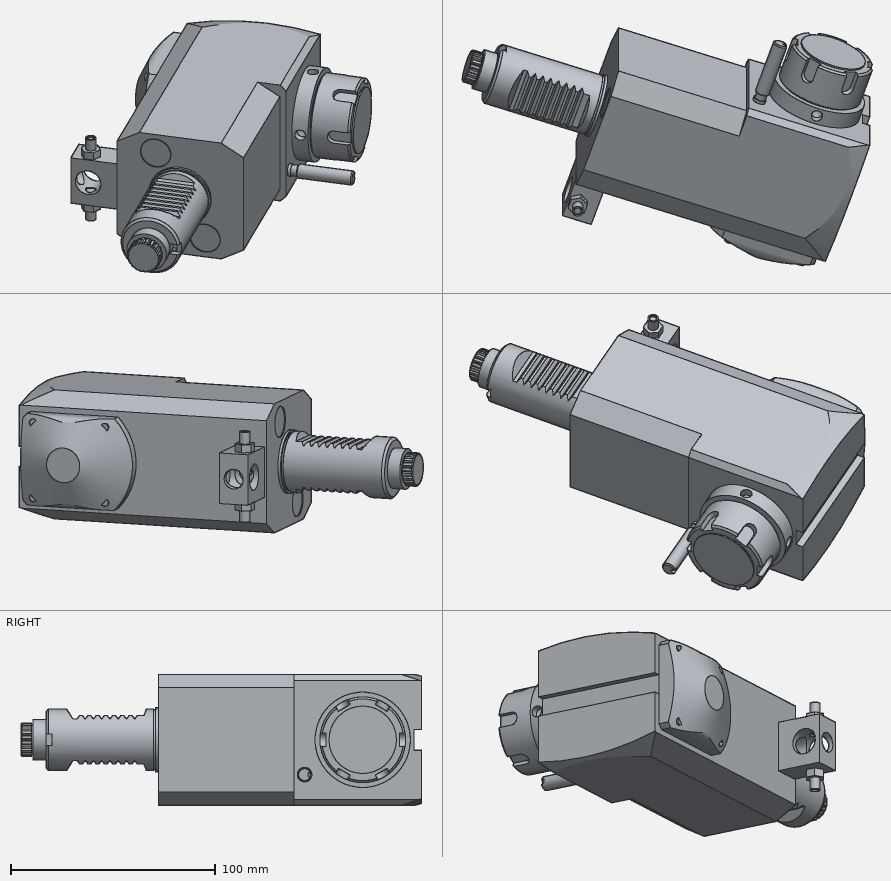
import cadquery as cq
import math


OVERALL_LENGTH = 196.0

HOUSING_HEIGHT = 64.0
HOUSING_LENGTH = 128.8
HOUSING_HALF_WIDTH = 32.1
HEAD_FACE_X = 35.3
HEAD_START_Y = 66.2
HEAD_CHAMFER = 3.0
BEVEL_WIDTH = 11.4
BEVEL_HEIGHT = 6.5
CROWN_RADIUS = 147.0
CROWN_TOP_Z = 31.2
CROWN_CENTER_X = 9.0
CROWN_ANGLE = 15.0
REAR_SLOT_WIDTH = 10.0
REAR_SLOT_DEPTH = 3.7
PLUG_RADIUS = 7.6
PLUG_X = 12.5
PLUG_Z = 21.8
PLUG_RECESS = 0.5

SHANK_RADIUS = 15.0
SHANK_END_Y = -54.9
SHANK_CHAMFER = 1.2
COLLAR_RADIUS = 15.7
COLLAR_LENGTH = 1.4
RELIEF_RADIUS = 14.7
RELIEF_END_Y = -2.4
DRIVE_RADIUS = 10.0
DRIVE_END_Y = -61.3
SPLINE_RADIUS = 8.2
SPLINE_ROOT_RADIUS = 7.5
SPLINE_START_Y = -62.0
SPLINE_CHAMFER = 0.5
SPLINE_TEETH = 20
TIP_Y = HOUSING_LENGTH - OVERALL_LENGTH
KEYWAY_FLOOR_X = 10.2
KEYWAY_WIDTH = 5.5
KEYWAY_LENGTH = 3.0
KEYWAY_POCKET_TOP_X = 12.7
KEYWAY_POCKET_WIDTH = 4.0
KEYWAY_POCKET_DEPTH = 2.0

FLAT_Z = 12.0
VALLEY_Z = 10.2
FLAT_EDGE_Y = -5.9
FLAT_START_Y = -7.0
FIRST_VALLEY_Y = -11.5
LAST_VALLEY_Y = -39.8
RAMP_START_Y = -41.7
RAMP_END_Y = -44.9
VALLEY_COUNT = 8
VALLEY_HALF_WIDTH = 1.4

SPINDLE_Y = 100.0
FLANGE_RADIUS = 23.3
FLANGE_END_X = 43.5
NECK_RADIUS = 20.0
NUT_RADIUS = 21.0
NUT_START_X = 44.3
NUT_END_X = 63.9
NUT_CHAMFER = 1.0
RIM_RADIUS = 16.5
RIM_END_X = 64.7
NUT_SLOT_COUNT = 6
NUT_SLOT_WIDTH = 6.7
NUT_SLOT_START_X = 52.7
NUT_SLOT_DEPTH = 3.0
SCREW_HOLE_X = 39.5
SCREW_HOLE_RADIUS = 2.7
SCREW_HOLE_DEPTH = 4.0
DRILL_POINT_ANGLE = 118.0
SCREW_HOLE_COUNT = 4

NOZZLE_Y = 71.5
NOZZLE_Z = -17.0
NOZZLE_RADIUS = 3.5
NOZZLE_START_X = 40.4
NOZZLE_END_X = 68.0
NOZZLE_CHAMFER = 0.5
NOZZLE_SEAT_RADIUS = 3.1
NOZZLE_SEAT_END_X = 36.8
NOZZLE_STEM_RADIUS = 2.7
NOZZLE_STEM_END_X = 39.8
JET_RADIUS = 1.4
JET_DEPTH = 2.4

COVER_RADIUS = 32.1
COVER_RIM_X = -37.5
COVER_TOP_X = -48.2
COVER_TOP_RADIUS = 8.6
COVER_HALF_HEIGHT = 22.7
COVER_REAR_REACH = 24.9
COVER_ROUNDING = 5.9
COVER_ROUND_START_X = -38.0
COVER_SCREW_OFFSET = 18.6
COVER_SCREW_RADIUS = 2.0
COVER_SCREW_TOP_X = -40.2

BLOCK_FACE_X = -55.9
BLOCK_START_Y = 1.0
BLOCK_END_Y = 15.9
BLOCK_HEIGHT = 25.0
BLOCK_HOLE_X = -47.0
BLOCK_HOLE_RADIUS = 6.5
SIDE_HOLE_RADIUS = 4.9
SIDE_HOLE_FLOOR_X = -34.3
SIDE_SOCKET_SIZE = 3.5
SIDE_SOCKET_DEPTH = 1.2
STUD_Y = 5.9
STUD_RADIUS = 2.5
STUD_TOP_Z = 22.3
STUD_SOCKET_RADIUS = 1.8
STUD_SOCKET_DEPTH = 0.8
STUD_TIP_Z = 6.9
LOCKNUT_SIZE = 9.6
LOCKNUT_TOP_Z = 16.5


def cylinder_x(radius, start_x, end_x, y, z):
    """Cylinder along X between two X positions."""
    plane = cq.Workplane("YZ", origin=(start_x, y, z))
    return plane.circle(radius).extrude(end_x - start_x)


def box_between(low, high):
    """Box from its lowest corner to its highest corner."""
    size = [high[i] - low[i] for i in range(3)]
    return cq.Workplane("XY").box(*size, centered=False).translate(low)


def turned_x(points, y, z):
    """Solid turned about an axis along X, from (x, radius) points."""
    profile = cq.Workplane("XY").polyline(points).close()
    return profile.revolve(360, (0, 0, 0), (1, 0, 0)).translate((0, y, z))


def housing_section(right_x, right_bevel_width, right_bevel_height):
    """Closed outline of the housing in the XZ plane, symmetric about Z = 0."""
    top = HOUSING_HEIGHT / 2
    upper = [
        (-HOUSING_HALF_WIDTH, top - BEVEL_HEIGHT),
        (-HOUSING_HALF_WIDTH + BEVEL_WIDTH, top),
        (right_x - right_bevel_width, top),
        (right_x, top - right_bevel_height),
    ]
    lower = [(x, -z) for x, z in reversed(upper)]
    return cq.Workplane("XZ").polyline(upper + lower).close()


def make_housing():
    head_length = HOUSING_LENGTH - HEAD_START_Y
    base = housing_section(HOUSING_HALF_WIDTH, BEVEL_WIDTH, BEVEL_HEIGHT).extrude(-HEAD_START_Y)
    head = housing_section(HEAD_FACE_X, HEAD_CHAMFER, HEAD_CHAMFER).extrude(-head_length)
    body = base.union(head.translate((0, HEAD_START_Y, 0)))

    front_radius = CROWN_RADIUS + HOUSING_LENGTH * math.tan(math.radians(CROWN_ANGLE))
    cone_center_z = CROWN_TOP_Z - CROWN_RADIUS
    for side in (1, -1):
        cone = cq.Solid.makeCone(
            front_radius,
            CROWN_RADIUS,
            HOUSING_LENGTH,
            pnt=cq.Vector(CROWN_CENTER_X, 0, side * cone_center_z),
            dir=cq.Vector(0, 1, 0),
        )
        body = body.intersect(cq.Workplane(cone))

    slot = box_between(
        (-HOUSING_HALF_WIDTH, HOUSING_LENGTH - REAR_SLOT_DEPTH, -REAR_SLOT_WIDTH / 2),
        (HEAD_FACE_X, HOUSING_LENGTH, REAR_SLOT_WIDTH / 2),
    )
    plugs = (
        cq.Workplane("XZ")
        .pushPoints([(-PLUG_X, PLUG_Z), (PLUG_X, -PLUG_Z)])
        .circle(PLUG_RADIUS)
        .extrude(-PLUG_RECESS)
    )
    return body.cut(slot).cut(plugs)


def make_serration_cutter():
    """Cutter for the serrated flat on the +Z side of the shank, drawn in YZ."""
    pitch = (FIRST_VALLEY_Y - LAST_VALLEY_Y) / (VALLEY_COUNT - 1)
    points = [(FLAT_EDGE_Y, SHANK_RADIUS), (FLAT_START_Y, FLAT_Z)]
    for i in range(VALLEY_COUNT):
        valley_y = FIRST_VALLEY_Y - i * pitch
        points.append((valley_y + VALLEY_HALF_WIDTH, FLAT_Z))
        points.append((valley_y, VALLEY_Z))
        if i < VALLEY_COUNT - 1:
            points.append((valley_y - VALLEY_HALF_WIDTH, FLAT_Z))
    points.append((RAMP_START_Y, VALLEY_Z))
    points.append((RAMP_END_Y, SHANK_RADIUS))
    return cq.Workplane("YZ").polyline(points).close().extrude(SHANK_RADIUS, both=True)


def make_spline_gaps():
    """V-shaped gaps between the spline teeth."""
    half_gap = math.pi * SPLINE_RADIUS / SPLINE_TEETH / 2
    gap = (
        cq.Workplane("XZ", origin=(0, SPLINE_START_Y, 0))
        .polyline([
            (SPLINE_ROOT_RADIUS, 0),
            (SPLINE_RADIUS, half_gap),
            (SPLINE_RADIUS + half_gap, half_gap),
            (SPLINE_RADIUS + half_gap, -half_gap),
            (SPLINE_RADIUS, -half_gap),
        ])
        .close()
        .extrude(SPLINE_START_Y - TIP_Y)
    )
    return [gap.rotate((0, 0, 0), (0, 1, 0), i * 360 / SPLINE_TEETH) for i in range(SPLINE_TEETH)]


def make_shank():
    profile = [
        (0, 0),
        (COLLAR_RADIUS, 0),
        (COLLAR_RADIUS, -COLLAR_LENGTH),
        (RELIEF_RADIUS, -COLLAR_LENGTH),
        (RELIEF_RADIUS, RELIEF_END_Y),
        (SHANK_RADIUS, RELIEF_END_Y),
        (SHANK_RADIUS, SHANK_END_Y + SHANK_CHAMFER),
        (SHANK_RADIUS - SHANK_CHAMFER, SHANK_END_Y),
        (DRIVE_RADIUS, SHANK_END_Y),
        (DRIVE_RADIUS, DRIVE_END_Y),
        (SPLINE_ROOT_RADIUS, DRIVE_END_Y),
        (SPLINE_ROOT_RADIUS, SPLINE_START_Y),
        (SPLINE_RADIUS, SPLINE_START_Y),
        (SPLINE_RADIUS, TIP_Y + SPLINE_CHAMFER),
        (SPLINE_RADIUS - SPLINE_CHAMFER, TIP_Y),
        (0, TIP_Y),
    ]
    shank = cq.Workplane("XY").polyline(profile).close().revolve(360, (0, 0, 0), (0, 1, 0))
    cutter = make_serration_cutter()
    shank = shank.cut(cutter).cut(cutter.mirror("XY"))
    for gap in make_spline_gaps():
        shank = shank.cut(gap)
    keyway = box_between(
        (KEYWAY_FLOOR_X, SHANK_END_Y, -KEYWAY_WIDTH / 2),
        (SHANK_RADIUS, SHANK_END_Y + KEYWAY_LENGTH, KEYWAY_WIDTH / 2),
    )
    pocket_start_y = SHANK_END_Y + KEYWAY_LENGTH
    keyway_pocket = box_between(
        (KEYWAY_FLOOR_X, pocket_start_y, -KEYWAY_POCKET_WIDTH / 2),
        (KEYWAY_POCKET_TOP_X, pocket_start_y + KEYWAY_POCKET_DEPTH, KEYWAY_POCKET_WIDTH / 2),
    )
    return shank.cut(keyway).cut(keyway_pocket)


def around_spindle(tool, count):
    """Copies of a tool spread evenly about the spindle axis."""
    axis_start = (0, SPINDLE_Y, 0)
    axis_end = (1, SPINDLE_Y, 0)
    return [tool.rotate(axis_start, axis_end, i * 360 / count) for i in range(count)]


def make_spindle():
    profile = [
        (0, 0),
        (0, FLANGE_RADIUS),
        (FLANGE_END_X, FLANGE_RADIUS),
        (FLANGE_END_X, NECK_RADIUS),
        (NUT_START_X, NECK_RADIUS),
        (NUT_START_X, NUT_RADIUS),
        (NUT_END_X - NUT_CHAMFER, NUT_RADIUS),
        (NUT_END_X, NUT_RADIUS - NUT_CHAMFER),
        (NUT_END_X, RIM_RADIUS),
        (RIM_END_X, RIM_RADIUS),
        (RIM_END_X, 0),
    ]
    spindle = turned_x(profile, SPINDLE_Y, 0)

    end_center_x = NUT_SLOT_START_X + NUT_SLOT_WIDTH / 2
    slot = (
        cq.Workplane("XZ", origin=(0, SPINDLE_Y - NUT_RADIUS + NUT_SLOT_DEPTH, 0))
        .moveTo(RIM_END_X, NUT_SLOT_WIDTH / 2)
        .lineTo(end_center_x, NUT_SLOT_WIDTH / 2)
        .threePointArc((NUT_SLOT_START_X, 0), (end_center_x, -NUT_SLOT_WIDTH / 2))
        .lineTo(RIM_END_X, -NUT_SLOT_WIDTH / 2)
        .close()
        .extrude(NUT_SLOT_DEPTH)
    )
    point_y = SCREW_HOLE_DEPTH + SCREW_HOLE_RADIUS / math.tan(math.radians(DRILL_POINT_ANGLE / 2))
    screw_hole = (
        cq.Workplane("XY")
        .polyline([(0, 0), (SCREW_HOLE_RADIUS, 0), (SCREW_HOLE_RADIUS, SCREW_HOLE_DEPTH), (0, point_y)])
        .close()
        .revolve(360, (0, 0, 0), (0, 1, 0))
        .translate((SCREW_HOLE_X, SPINDLE_Y - FLANGE_RADIUS, 0))
    )
    for cutter in around_spindle(slot, NUT_SLOT_COUNT) + around_spindle(screw_hole, SCREW_HOLE_COUNT):
        spindle = spindle.cut(cutter)
    return spindle


def make_nozzle():
    profile = [
        (HOUSING_HALF_WIDTH, 0),
        (HOUSING_HALF_WIDTH, NOZZLE_SEAT_RADIUS),
        (NOZZLE_SEAT_END_X, NOZZLE_SEAT_RADIUS),
        (NOZZLE_SEAT_END_X, NOZZLE_STEM_RADIUS),
        (NOZZLE_STEM_END_X, NOZZLE_STEM_RADIUS),
        (NOZZLE_START_X, NOZZLE_RADIUS),
        (NOZZLE_END_X - NOZZLE_CHAMFER, NOZZLE_RADIUS),
        (NOZZLE_END_X, NOZZLE_RADIUS - NOZZLE_CHAMFER),
        (NOZZLE_END_X, 0),
    ]
    nozzle = turned_x(profile, NOZZLE_Y, NOZZLE_Z)
    inward = cq.Vector(-1, -1, 0).normalized()
    corner = cq.Vector(NOZZLE_END_X, NOZZLE_Y + NOZZLE_RADIUS, NOZZLE_Z)
    jet = cq.Solid.makeCylinder(JET_RADIUS, JET_DEPTH, corner, inward)
    return nozzle.cut(cq.Workplane(jet))


def make_cover():
    """Shallow cone trimmed to a rounded block, with four screw heads breaking the surface."""
    cone = turned_x(
        [
            (-HOUSING_HALF_WIDTH, 0),
            (-HOUSING_HALF_WIDTH, COVER_RADIUS),
            (COVER_RIM_X, COVER_RADIUS),
            (COVER_TOP_X, COVER_TOP_RADIUS),
            (COVER_TOP_X, 0),
        ],
        SPINDLE_Y,
        0,
    )
    block = box_between(
        (COVER_TOP_X, SPINDLE_Y - COVER_RADIUS, -COVER_HALF_HEIGHT),
        (-HOUSING_HALF_WIDTH, SPINDLE_Y + COVER_REAR_REACH, COVER_HALF_HEIGHT),
    )
    cover = cone.intersect(block)

    round_center_z = COVER_HALF_HEIGHT - COVER_ROUNDING
    end_angle = math.atan2(COVER_RIM_X - COVER_TOP_X, COVER_RADIUS - COVER_TOP_RADIUS)
    middle_angle = (end_angle + math.pi / 2) / 2

    def round_point(angle):
        x = COVER_ROUND_START_X - COVER_ROUNDING * math.cos(angle)
        return (x, round_center_z + COVER_ROUNDING * math.sin(angle))

    corner = (
        cq.Workplane("XZ", origin=(0, SPINDLE_Y + COVER_RADIUS, 0))
        .moveTo(COVER_ROUND_START_X, COVER_HALF_HEIGHT)
        .threePointArc(round_point(middle_angle), round_point(end_angle))
        .lineTo(COVER_TOP_X, round_point(end_angle)[1])
        .lineTo(COVER_TOP_X, COVER_HALF_HEIGHT)
        .close()
        .extrude(2 * COVER_RADIUS)
    )
    cover = cover.cut(corner).cut(corner.mirror("XY"))

    for y_side in (-1, 1):
        for z_side in (-1, 1):
            screw_y = SPINDLE_Y + y_side * COVER_SCREW_OFFSET
            screw_z = z_side * COVER_SCREW_OFFSET
            head = cylinder_x(
                COVER_SCREW_RADIUS, COVER_SCREW_TOP_X, -HOUSING_HALF_WIDTH, screw_y, screw_z
            )
            cover = cover.union(head)
    return cover


def make_stud():
    """Socket stud with its hexagonal locknut on the upper side of the connection block."""
    tip = cq.Workplane("XY", origin=(BLOCK_HOLE_X, STUD_Y, STUD_TIP_Z))
    stud = tip.circle(STUD_RADIUS).extrude(STUD_TOP_Z - STUD_TIP_Z)
    seat = cq.Workplane("XY", origin=(BLOCK_HOLE_X, STUD_Y, BLOCK_HEIGHT / 2))
    locknut = seat.polygon(6, LOCKNUT_SIZE).extrude(LOCKNUT_TOP_Z - BLOCK_HEIGHT / 2)
    socket = (
        cq.Workplane("XY", origin=(BLOCK_HOLE_X, STUD_Y, STUD_TOP_Z))
        .circle(STUD_SOCKET_RADIUS)
        .extrude(-STUD_SOCKET_DEPTH)
    )
    return stud.union(locknut).cut(socket)


def make_connection_block():
    half_height = BLOCK_HEIGHT / 2
    block = box_between(
        (BLOCK_FACE_X, BLOCK_START_Y, -half_height),
        (-HOUSING_HALF_WIDTH, BLOCK_END_Y, half_height),
    )
    stud = make_stud()
    block = block.union(stud).union(stud.mirror("XY"))

    through_hole = (
        cq.Workplane("XZ", origin=(BLOCK_HOLE_X, BLOCK_START_Y, 0))
        .circle(BLOCK_HOLE_RADIUS)
        .extrude(BLOCK_START_Y - BLOCK_END_Y)
    )
    middle_y = (BLOCK_START_Y + BLOCK_END_Y) / 2
    side_hole = cylinder_x(SIDE_HOLE_RADIUS, BLOCK_FACE_X, SIDE_HOLE_FLOOR_X, middle_y, 0)
    socket = (
        cq.Workplane("YZ", origin=(SIDE_HOLE_FLOOR_X, middle_y, 0))
        .polygon(6, SIDE_SOCKET_SIZE)
        .extrude(SIDE_SOCKET_DEPTH)
    )
    stud_bore = (
        cq.Workplane("XY", origin=(BLOCK_HOLE_X, STUD_Y, 0))
        .circle(STUD_RADIUS)
        .extrude(STUD_TIP_Z, both=True)
    )
    block = block.cut(stud_bore)
    return block.cut(through_hole).cut(side_hole).cut(socket)


result = (
    make_housing()
    .union(make_shank())
    .union(make_spindle())
    .union(make_nozzle())
    .union(make_cover())
    .union(make_connection_block())
)